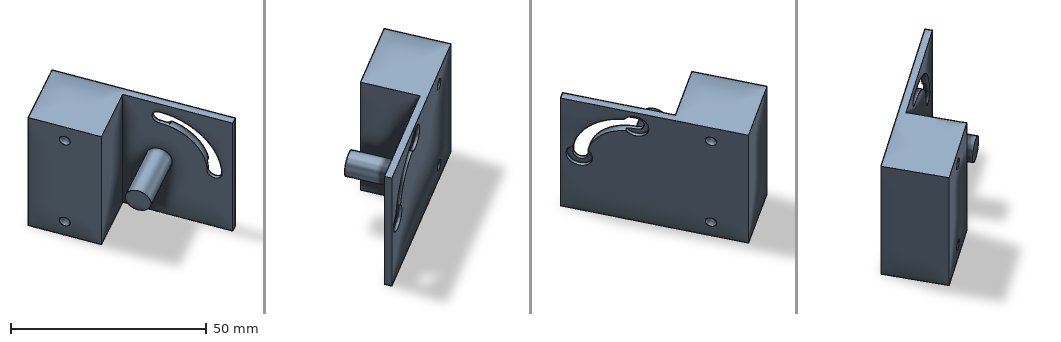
import cadquery as cq
import math

length = 50.0
depth = 18.0
height = 40.0

block_length = 20.0
plate_thickness = 2.0

hole_diameter = 3.0
hole_edge_offset = 5.0

pin_diameter = 7.0
pin_x = 30.0
pin_z = height / 2

slot_radius = 15.0
slot_width = 4.0

recess_diameter = 7.0
recess_depth = 1.0


def front_plane():
    """Sketch plane on the back face; extrusion runs toward -Y."""
    return cq.Workplane("XZ", origin=(0, depth, 0))


def make_arc_slot():
    """Cutter running from directly above the pin round to its +X side."""
    inner = slot_radius - slot_width / 2
    outer = slot_radius + slot_width / 2
    diagonal = math.sqrt(0.5)
    cap = slot_width / 2
    return (
        front_plane()
        .center(pin_x, pin_z)
        .moveTo(0, outer)
        .threePointArc((outer * diagonal, outer * diagonal), (outer, 0))
        .threePointArc((slot_radius, -cap), (inner, 0))
        .threePointArc((inner * diagonal, inner * diagonal), (0, inner))
        .threePointArc((-cap, slot_radius), (0, outer))
        .close()
        .extrude(plate_thickness)
    )


def make_slot_end_recesses():
    return (
        front_plane()
        .center(pin_x, pin_z)
        .pushPoints([(0, slot_radius), (slot_radius, 0)])
        .circle(recess_diameter / 2)
        .extrude(recess_depth)
    )


def make_mounting_holes():
    hole_x = block_length / 2
    hole_heights = (hole_edge_offset, height - hole_edge_offset)
    return (
        front_plane()
        .pushPoints([(hole_x, z) for z in hole_heights])
        .circle(hole_diameter / 2)
        .extrude(depth)
    )


plate = front_plane().rect(length, height, centered=False).extrude(plate_thickness)
block = front_plane().rect(block_length, height, centered=False).extrude(depth)
pin = front_plane().center(pin_x, pin_z).circle(pin_diameter / 2).extrude(depth)

body = plate.union(block).union(pin)
result = body.cut(make_arc_slot()).cut(make_slot_end_recesses()).cut(make_mounting_holes())